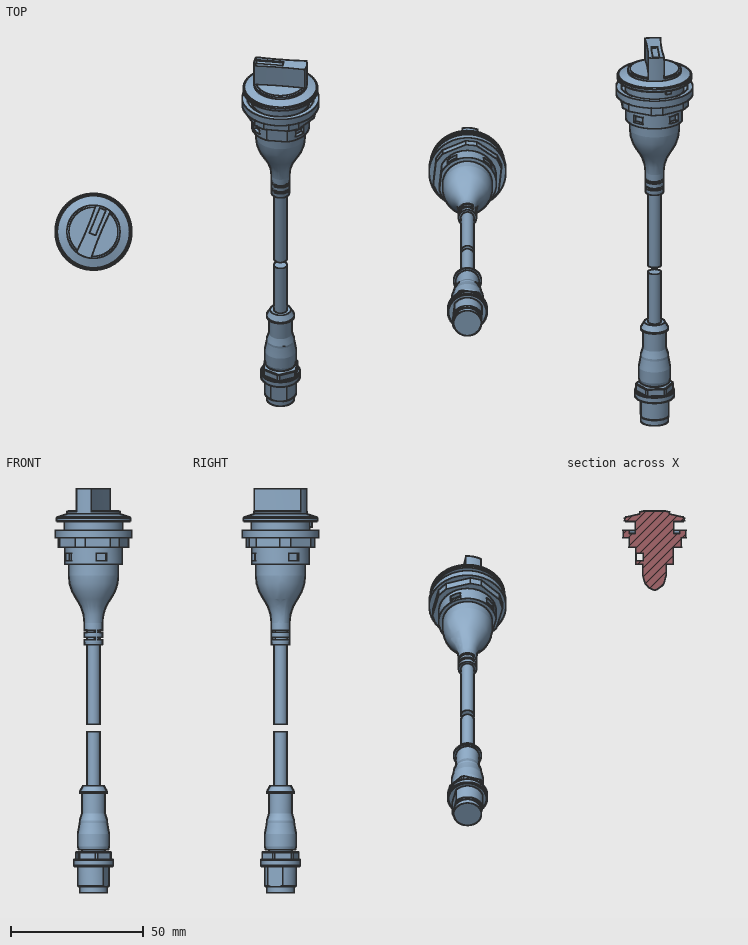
import cadquery as cq
import math


total_height = 152.45
cable_dia = 5.0
cable_gap_bottom = 60.85
cable_gap_top = 63.55

handle_angle = 67.5
flat_angle = handle_angle + 90

handle_end_width = 5.95
handle_waist_width = 5.3
handle_height = 8.4
knob_dia = 20.05
knob_rim_dia = 18.5
knob_rim_drop = 0.3
knob_height = 1.15
pointer_width = 2.5
pointer_start = -1.0
pointer_length = 10.2
pointer_depth = 0.5

bezel_dia = 28.1
bezel_top_dia = knob_dia
bezel_cone_height = 1.15
bezel_edge_chamfer = 0.45
bezel_edge_height = 1.8

neck_dia = 22.2
neck_height = 3.2
key_width = 2.0
key_height = 2.0
key_reach = 0.8

flange_dia = 29.0
flange_height = 2.9
flange_recess_dia = 25.2
flange_recess_depth = 1.2

switch_nut_corner_dia = 26.6
switch_nut_corner_half_angle = 9.0
switch_nut_height = 3.55

barrel_dia = 21.8
barrel_flat_distance = 10.2
barrel_height = 6.4
pocket_width = 4.2
pocket_height = 2.8
pocket_depth = 1.4
pocket_drop = 2.25
pocket_spread = 39.3

boot_dia = 18.8
boot_straight = 4.15
boot_curve_height = 17.9
sleeve_dia = 7.0
sleeve_height = 8.3
sleeve_end_dia = 6.8
sleeve_end_taper = 1.1
groove_height = 0.9
groove_drops = (2.75, 5.5)
bridge_width = 1.2
bridge_angle = 111.0

knob_top = total_height - handle_height
bezel_top = knob_top - knob_height
bezel_edge_top = bezel_top - bezel_cone_height
bezel_bottom = bezel_edge_top - bezel_edge_height
flange_top = bezel_bottom - neck_height
switch_nut_top = flange_top - flange_height
barrel_top = switch_nut_top - switch_nut_height
boot_top = barrel_top - barrel_height
curve_top = boot_top - boot_straight
sleeve_top = curve_top - boot_curve_height
sleeve_bottom = sleeve_top - sleeve_height

tip_dia = 10.5
tip_height = 2.3
thread_dia = 12.0
thread_flat_distance = 5.2
thread_chamfer = 0.5
thread_height = 7.65
collar_dia = 15.0
collar_height = 2.8
collar_chamfer = 0.4
plug_nut_corner_dia = 14.0
plug_nut_corner_half_angle = 3.7
plug_nut_angle = 9.0
plug_nut_height = 2.7
plug_nut_chamfer = 0.25
plug_neck_dia = 8.8
plug_neck_height = 0.75
grip_dia = 12.0
grip_bottom_dia = 11.2
grip_chamfer_height = 1.4
grip_height = 4.6
grip_band_dia = 10.5
grip_taper_height = 4.15
grip_band_height = 0.9
grip_shoulder_height = 2.75
tail_dia = 8.8
tail_height = 7.6
tail_ring_dia = 10.5
tail_ring_height = 0.5
tail_ring_top_dia = 7.8
tail_cone_height = 2.4

thread_bottom = tip_height
collar_bottom = thread_bottom + thread_height
plug_nut_bottom = collar_bottom + collar_height
plug_neck_bottom = plug_nut_bottom + plug_nut_height
grip_bottom = plug_neck_bottom + plug_neck_height
grip_edge = grip_bottom + grip_chamfer_height
grip_top = grip_edge + grip_height
band_bottom = grip_top + grip_taper_height
band_top = band_bottom + grip_band_height
tail_bottom = band_top + grip_shoulder_height
tail_ring_bottom = tail_bottom + tail_height
tail_cone_bottom = tail_ring_bottom + tail_ring_height
tail_cone_top = tail_cone_bottom + tail_cone_height


def disc(diameter, bottom, top):
    """Cylinder on the Z axis between two heights."""
    return cq.Workplane("XY").workplane(offset=bottom).circle(diameter / 2).extrude(top - bottom)


def cone(bottom_diameter, top_diameter, bottom, top):
    """Cone frustum on the Z axis between two heights."""
    profile = [(0, bottom), (bottom_diameter / 2, bottom), (top_diameter / 2, top), (0, top)]
    return cq.Workplane("XZ").polyline(profile).close().revolve(360, (0, 0, 0), (0, 1, 0))


def turned_box(length, width, bottom, top, start, angle):
    """Box that runs outward from `start` along the given direction."""
    box = cq.Workplane("XY").box(length, width, top - bottom, centered=(False, True, False))
    return box.translate((start, 0, bottom)).rotate((0, 0, 0), (0, 0, 1), angle)


def blunt_hexagon(corner_diameter, corner_half_angle, flat_angle, bottom, top):
    """Hexagon nut whose six corners are cut flat; one flat faces `flat_angle`."""
    radius = corner_diameter / 2
    points = []
    for side in range(6):
        corner = flat_angle + 30 + side * 60
        for turn in (corner - corner_half_angle, corner + corner_half_angle):
            direction = math.radians(turn)
            points.append((radius * math.cos(direction), radius * math.sin(direction)))
    return cq.Workplane("XY").workplane(offset=bottom).polyline(points).close().extrude(top - bottom)


def flatted_disc(diameter, flat_distance, flat_angles, bottom, top):
    """Cylinder with a flat at `flat_distance` from the axis in each given direction."""
    body = disc(diameter, bottom, top)
    for angle in flat_angles:
        body = body.cut(turned_box(diameter, 2 * diameter, bottom, top, flat_distance, angle))
    return body


def handle_bar(bottom):
    """Bar with hollow sides that overruns the knob at both ends."""
    radius = knob_dia / 2
    half_end = handle_end_width / 2
    half_waist = handle_waist_width / 2
    reach = math.sqrt(radius**2 - half_end**2)
    bar = (
        cq.Workplane("XY")
        .workplane(offset=bottom)
        .moveTo(-reach, half_end)
        .threePointArc((0, half_waist), (reach, half_end))
        .lineTo(knob_dia, half_end)
        .lineTo(knob_dia, -half_end)
        .lineTo(reach, -half_end)
        .threePointArc((0, -half_waist), (-reach, -half_end))
        .lineTo(-knob_dia, -half_end)
        .lineTo(-knob_dia, half_end)
        .close()
        .extrude(total_height - bottom)
    )
    return bar.rotate((0, 0, 0), (0, 0, 1), handle_angle)


def knob():
    """Round knob cut down beside the handle, with a bevelled rim and a sunk pointer mark."""
    rim_bottom = knob_top - knob_rim_drop
    rim = cone(knob_dia, knob_rim_dia, rim_bottom, knob_top)
    waste = disc(2 * knob_dia, rim_bottom, total_height).cut(rim).cut(handle_bar(rim_bottom))
    pointer_floor = total_height - pointer_depth
    pointer = turned_box(
        pointer_length, pointer_width, pointer_floor, total_height, pointer_start, handle_angle
    )
    return disc(knob_dia, bezel_top, total_height).cut(waste).cut(pointer)


def bezel():
    edge = disc(bezel_dia, bezel_bottom, bezel_edge_top).edges().chamfer(bezel_edge_chamfer)
    edge_face_dia = bezel_dia - 2 * bezel_edge_chamfer
    return edge.union(cone(edge_face_dia, bezel_top_dia, bezel_edge_top, bezel_top))


def neck():
    """Neck below the bezel with a locating key, rising out of a recess in the flange."""
    recess_floor = flange_top - flange_recess_depth
    key_end = neck_dia / 2 + key_reach
    key = turned_box(key_end, key_width, bezel_bottom - key_height, bezel_bottom, 0, 90)
    return disc(neck_dia, recess_floor, bezel_bottom).union(key)


def flange():
    recess = disc(flange_recess_dia, flange_top - flange_recess_depth, flange_top)
    return disc(flange_dia, switch_nut_top, flange_top).cut(recess)


def barrel():
    body = flatted_disc(barrel_dia, barrel_flat_distance, [flat_angle], boot_top, barrel_top)
    pocket_top = barrel_top - pocket_drop
    floor_distance = math.sqrt((barrel_dia / 2) ** 2 - (pocket_width / 2) ** 2) - pocket_depth
    for axis in (handle_angle, handle_angle + 180):
        for spread in (-pocket_spread, pocket_spread):
            body = body.cut(
                turned_box(
                    barrel_dia, pocket_width, pocket_top - pocket_height, pocket_top,
                    floor_distance, axis + spread,
                )
            )
    return body


def boot():
    """Boot that narrows to the cable sleeve in an S-curve of two equal arcs."""
    curve_middle = ((boot_dia + sleeve_dia) / 4, (curve_top + sleeve_top) / 2)
    return (
        cq.Workplane("XZ")
        .moveTo(0, boot_top)
        .lineTo(boot_dia / 2, boot_top)
        .lineTo(boot_dia / 2, curve_top)
        .tangentArcPoint(curve_middle, relative=False)
        .tangentArcPoint((sleeve_dia / 2, sleeve_top), relative=False)
        .lineTo(sleeve_dia / 2, sleeve_bottom + sleeve_end_taper)
        .lineTo(sleeve_end_dia / 2, sleeve_bottom)
        .lineTo(0, sleeve_bottom)
        .close()
        .revolve(360, (0, 0, 0), (0, 1, 0))
    )


def sleeve_groove(top):
    """Ring groove down to the cable, interrupted by two opposite bridges."""
    bottom = top - groove_height
    ring = disc(sleeve_dia, bottom, top).cut(disc(cable_dia, bottom, top))
    return ring.cut(turned_box(2 * sleeve_dia, bridge_width, bottom, top, -sleeve_dia, bridge_angle))


def make_switch():
    switch = (
        knob()
        .union(bezel())
        .union(flange())
        .union(neck())
        .union(
            blunt_hexagon(
                switch_nut_corner_dia, switch_nut_corner_half_angle, flat_angle, barrel_top, switch_nut_top
            )
        )
        .union(barrel())
        .union(boot())
        .union(disc(cable_dia, cable_gap_top, sleeve_bottom))
    )
    for drop in groove_drops:
        switch = switch.cut(sleeve_groove(sleeve_top - drop))
    return switch


def threaded_end():
    chamfer_top = thread_bottom + thread_chamfer
    thread_flats = [flat_angle, flat_angle + 180]
    thread = flatted_disc(thread_dia, thread_flat_distance, thread_flats, thread_bottom, collar_bottom)
    lead_in = cone(thread_dia - 2 * thread_chamfer, thread_dia, thread_bottom, chamfer_top)
    envelope = lead_in.union(disc(thread_dia, chamfer_top, collar_bottom))
    return thread.intersect(envelope).union(disc(tip_dia, 0, thread_bottom))


def coupling_nut():
    collar = disc(collar_dia, collar_bottom, plug_nut_bottom).edges().chamfer(collar_chamfer)
    hexagon = blunt_hexagon(
        plug_nut_corner_dia, plug_nut_corner_half_angle, plug_nut_angle, plug_nut_bottom, plug_neck_bottom
    )
    return collar.union(hexagon.faces(">Z").chamfer(plug_nut_chamfer))


def grip():
    """Turned grip from the coupling nut up to the ring around the cable."""
    outline = [
        (0, plug_neck_bottom),
        (plug_neck_dia / 2, plug_neck_bottom),
        (plug_neck_dia / 2, grip_bottom),
        (grip_bottom_dia / 2, grip_bottom),
        (grip_dia / 2, grip_edge),
        (grip_dia / 2, grip_top),
        (grip_band_dia / 2, band_bottom),
        (grip_band_dia / 2, band_top),
        (tail_dia / 2, tail_bottom),
        (tail_dia / 2, tail_ring_bottom),
        (tail_ring_dia / 2, tail_ring_bottom),
        (tail_ring_dia / 2, tail_cone_bottom),
        (tail_ring_top_dia / 2, tail_cone_top),
        (0, tail_cone_top),
    ]
    return cq.Workplane("XZ").polyline(outline).close().revolve(360, (0, 0, 0), (0, 1, 0))


def make_plug():
    return (
        threaded_end()
        .union(coupling_nut())
        .union(grip())
        .union(disc(cable_dia, tail_cone_top, cable_gap_bottom))
    )


switch = make_switch()
plug = make_plug()
result = cq.Compound.makeCompound([switch.val(), plug.val()])